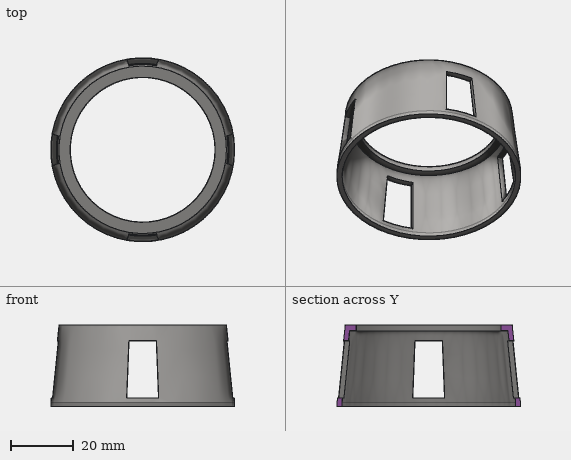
import cadquery as cq

height = 26.15
foot_height = 1.4
foot_radius = 29.4
top_radius = 26.75
wall = 1.7

lip_height = 1.95
lip_radius = 23.1

window_bottom = 2.8
window_top = 21.05
window_bottom_width = 10.1
window_top_width = 8.7


def make_shell():
    """Revolve the half section of the wall, foot and top lip about Z."""
    lip_bottom = height - lip_height
    taper = (foot_radius - top_radius) / (height - foot_height)
    bore_radius = foot_radius - wall
    bore_top_radius = bore_radius - taper * (lip_bottom - foot_height)
    section = [
        (bore_radius, 0),
        (foot_radius, 0),
        (foot_radius, foot_height),
        (top_radius, height),
        (lip_radius, height),
        (lip_radius, lip_bottom),
        (bore_top_radius, lip_bottom),
        (bore_radius, foot_height),
    ]
    return cq.Workplane("XZ").polyline(section).close().revolve(360, (0, 0), (0, 1))


def make_window_cutter():
    """Trapezoidal prism that passes through two opposite walls along Y."""
    outline = [
        (-window_bottom_width / 2, window_bottom),
        (window_bottom_width / 2, window_bottom),
        (window_top_width / 2, window_top),
        (-window_top_width / 2, window_top),
    ]
    return cq.Workplane("XZ").polyline(outline).close().extrude(foot_radius + 0.6, both=True)


result = make_shell()
for angle in (0, 90):
    result = result.cut(make_window_cutter().rotate((0, 0, 0), (0, 0, 1), angle))